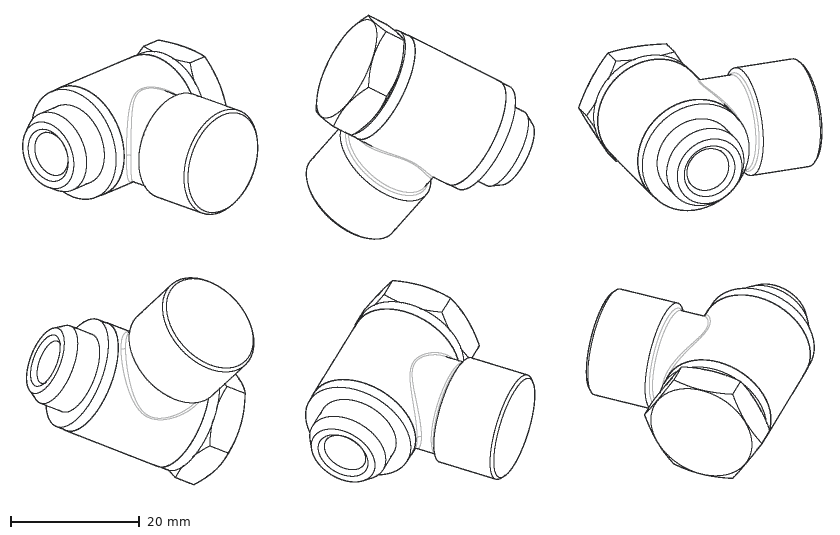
import cadquery as cq
import math


overall_width = 31.82
overall_length = 31.5

housing_radius = 9.0
housing_half_length = 8.5
neck_radius = 7.5
junction_fillet = 0.5
collar_radius = 8.5
collar_start = 12.03
collar_chamfer = 0.45
shoulder_angle = math.radians(60)
shoulder_fillet = 0.5

washer_radius = 8.95
washer_thickness = 1.8

shank_radius = 6.45
hex_across_flats = 17.0
hex_corner_radius = hex_across_flats / math.sqrt(3)
hex_height = 5.0
hex_chamfer_angle = math.radians(30)
hex_face_radius = 8.43
tip_chamfer_length = 1.8
tip_chamfer_angle = math.radians(30)
bore_radius = 3.5
bore_chamfer = 0.73
drill_half_angle = math.radians(59)

hex_seat = housing_half_length + washer_thickness
hex_top = hex_seat + hex_height
bolt_tip = hex_top - overall_length
bore_end = housing_half_length

branch_end = overall_width - hex_corner_radius


def disc(radius, start, length):
    """Solid cylinder about the Y axis, from y = start to y = start + length."""
    return cq.Workplane("XZ", origin=(0, start, 0)).circle(radius).extrude(-length)


def make_branch():
    """Neck, shoulder and collar, revolved about the X axis."""
    rise = collar_radius - neck_radius
    fillet_rise = shoulder_fillet * (1 - math.cos(shoulder_angle))
    fillet_end = collar_start - (rise - fillet_rise) / math.tan(shoulder_angle)
    fillet_start = fillet_end - shoulder_fillet * math.sin(shoulder_angle)
    half_angle = shoulder_angle / 2
    fillet_middle = (
        fillet_start + shoulder_fillet * math.sin(half_angle),
        neck_radius + shoulder_fillet * (1 - math.cos(half_angle)),
    )
    return (
        cq.Workplane("XY")
        .lineTo(0, neck_radius)
        .lineTo(fillet_start, neck_radius)
        .threePointArc(fillet_middle, (fillet_end, neck_radius + fillet_rise))
        .lineTo(collar_start, collar_radius)
        .lineTo(branch_end - collar_chamfer, collar_radius)
        .lineTo(branch_end, collar_radius - collar_chamfer)
        .lineTo(branch_end, 0)
        .close()
        .revolve(360, (0, 0, 0), (1, 0, 0))
    )


def make_housing():
    """Barrel with the side branch, bored through for the bolt shank."""
    length = 2 * housing_half_length
    barrel = disc(housing_radius, -housing_half_length, length)
    margin = 0.32
    reach = neck_radius + margin
    junction_zone = cq.selectors.BoxSelector(
        (0, -reach, -reach),
        (housing_radius + margin, reach, reach),
        boundingbox=True,
    )
    body = barrel.union(make_branch()).edges(junction_zone).fillet(junction_fillet)
    return body.cut(disc(shank_radius, -housing_half_length, length))


def make_washer(start):
    """Flat ring about the bolt axis."""
    ring = disc(washer_radius, start, washer_thickness)
    return ring.cut(disc(shank_radius, start, washer_thickness))


def make_hex_head():
    """Hexagon with corners on the X axis and both faces chamfered."""
    prism = (
        cq.Workplane("XZ", origin=(0, hex_seat, 0))
        .polygon(6, 2 * hex_corner_radius)
        .extrude(-hex_height)
    )
    chamfer_depth = (hex_corner_radius - hex_face_radius) * math.tan(hex_chamfer_angle)
    envelope = (
        cq.Workplane("XY")
        .moveTo(0, hex_seat)
        .lineTo(hex_face_radius, hex_seat)
        .lineTo(hex_corner_radius, hex_seat + chamfer_depth)
        .lineTo(hex_corner_radius, hex_top - chamfer_depth)
        .lineTo(hex_face_radius, hex_top)
        .lineTo(0, hex_top)
        .close()
        .revolve(360, (0, 0, 0), (0, 1, 0))
    )
    return prism.intersect(envelope)


def make_shank():
    """Bolt shank with its tapered tip, revolved about the Y axis."""
    tip_radius = shank_radius - tip_chamfer_length * math.tan(tip_chamfer_angle)
    return (
        cq.Workplane("XY")
        .moveTo(0, bolt_tip)
        .lineTo(tip_radius, bolt_tip)
        .lineTo(shank_radius, bolt_tip + tip_chamfer_length)
        .lineTo(shank_radius, hex_seat)
        .lineTo(0, hex_seat)
        .close()
        .revolve(360, (0, 0, 0), (0, 1, 0))
    )


def make_bore():
    """Blind drilled hole with a chamfered mouth and a conical bottom."""
    cone_depth = bore_radius / math.tan(drill_half_angle)
    return (
        cq.Workplane("XY")
        .moveTo(0, bolt_tip)
        .lineTo(bore_radius + bore_chamfer, bolt_tip)
        .lineTo(bore_radius, bolt_tip + bore_chamfer)
        .lineTo(bore_radius, bore_end)
        .lineTo(0, bore_end + cone_depth)
        .close()
        .revolve(360, (0, 0, 0), (0, 1, 0))
    )


def make_bolt():
    """Hex head and shank with the blind bore."""
    return make_hex_head().union(make_shank()).cut(make_bore())


housing = make_housing()
bolt = make_bolt()
washer_starts = [housing_half_length, -housing_half_length - washer_thickness]
washers = [make_washer(start) for start in washer_starts]

result = cq.Compound.makeCompound(
    [housing.val(), bolt.val(), *[washer.val() for washer in washers]]
)